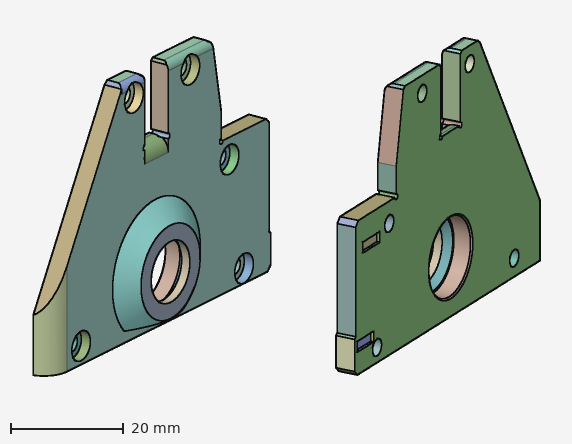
import cadquery as cq
import math


plate_thickness = 3.8
total_thickness = 6.91
bottom_z = -11.25
top_z = 38.0
right_y = -31.87
left_y = 34.4
side_step = 0.4
step_z = -4.15
shoulder_z = 18.0
shoulder_y = 19.5
corner_chamfer = 1.0
upright_top_z = 23.85
lean_top_y = 16.95
lean_chamfer_y = 0.6
tip_chamfer = 0.5
slope_angle = 60.0
slope_top_y = -10.45
slope_top_drop = 0.65
slope_chamfer_y = 0.85

slot_left_y = 3.55
slot_width = 7.0
slot_floor_z = 24.0
relief_diameter = 1.0

tine_round = 1.5
slot_floor_round = 3.0
end_round = 5.0

boss_base_radius = 13.2
boss_top_radius = 8.9
boss_flat_z = -9.0
bore_diameter = 11.6
seat_diameter = 15.1
seat_depth = 3.7
seat_chamfer = 0.3
cone_diameter = 14.3
cone_depth = 1.4

hole_diameter = 3.2
counterbore_diameter = 5.6
counterbore_depth = 2.0
screw_holes = [(10.2, 34.55), (-6.75, 34.55), (22.0, 13.75), (26.35, -8.35), (-22.65, -7.7)]

pocket_height = 2.05
pocket_depth = 0.6
pockets = [(31.4, 13.35, 6.05), (33.4, -4.85, 5.85)]


def cylinder_x(diameter, y, z, x_start, length):
    """Cylinder along +X."""
    return cq.Workplane("YZ", origin=(x_start, y, z)).circle(diameter / 2).extrude(length)


def cone_x(start_diameter, end_diameter, y, z, x_start, length):
    """Truncated cone along +X."""
    start = cq.Vector(x_start, y, z)
    return cq.Workplane(
        cq.Solid.makeCone(start_diameter / 2, end_diameter / 2, length, start, cq.Vector(1, 0, 0))
    )


def make_plate():
    upper_left_y = left_y - side_step
    slot_right_y = slot_left_y - slot_width
    slope_top_z = top_z - slope_top_drop
    slope_bottom_z = slope_top_z - (slope_top_y - right_y) * math.tan(math.radians(slope_angle))
    outline = [
        (right_y, bottom_z),
        (left_y - corner_chamfer, bottom_z),
        (left_y, bottom_z + corner_chamfer),
        (left_y, step_z),
        (upper_left_y, step_z + side_step),
        (upper_left_y, shoulder_z - corner_chamfer),
        (upper_left_y - corner_chamfer, shoulder_z),
        (shoulder_y, shoulder_z),
        (shoulder_y, upright_top_z),
        (lean_top_y, top_z - tip_chamfer),
        (lean_top_y - lean_chamfer_y, top_z),
        (slot_left_y + tip_chamfer, top_z),
        (slot_left_y, top_z - tip_chamfer),
        (slot_left_y, slot_floor_z),
        (slot_right_y, slot_floor_z),
        (slot_right_y, top_z - tip_chamfer),
        (slot_right_y - tip_chamfer, top_z),
        (slope_top_y + slope_chamfer_y, top_z),
        (slope_top_y, slope_top_z),
        (right_y, slope_bottom_z),
    ]
    plate = cq.Workplane("YZ").polyline(outline).close().extrude(plate_thickness)
    inner_corners = [
        (shoulder_y, shoulder_z),
        (slot_left_y, slot_floor_z),
        (slot_right_y, slot_floor_z),
    ]
    for y, z in inner_corners:
        plate = plate.cut(cylinder_x(relief_diameter, y, z, 0, plate_thickness))
    return plate


def edge_rounding_y(radius, edge_z, y_start, y_end):
    """Waste outside a quarter round on the front edge at height edge_z, running along Y."""
    block = cq.Workplane("XY").box(radius, y_end - y_start, radius, centered=False)
    block = block.translate((plate_thickness - radius, y_start, edge_z - radius))
    rod = cq.Workplane("XZ", origin=(plate_thickness - radius, y_end, edge_z - radius))
    return block.cut(rod.circle(radius).extrude(y_end - y_start))


def end_rounding():
    """Waste outside the upright round at the -Y end; the arc runs out in the back face."""
    center_x = plate_thickness - end_round
    center_y = right_y + math.sqrt(end_round**2 - center_x**2)
    height = top_z - bottom_z
    block = cq.Workplane("XY").box(plate_thickness, center_y - right_y, height, centered=False)
    block = block.translate((0, right_y, bottom_z))
    rod = cq.Workplane("XY", origin=(center_x, center_y, bottom_z))
    return block.cut(rod.circle(end_round).extrude(height))


def round_front_edges(plate):
    slot_right_y = slot_left_y - slot_width
    plate = plate.cut(edge_rounding_y(tine_round, top_z, slope_top_y, shoulder_y))
    plate = plate.cut(edge_rounding_y(slot_floor_round, slot_floor_z, slot_right_y, slot_left_y))
    return plate.cut(end_rounding())


def make_boss():
    height = total_thickness - plate_thickness
    half_section = [
        (plate_thickness, 0),
        (plate_thickness, -boss_base_radius),
        (total_thickness, -boss_top_radius),
        (total_thickness, 0),
    ]
    boss = cq.Workplane("XZ").polyline(half_section).close().revolve(360, (0, 0), (1, 0))
    keep = cq.Workplane("XY", origin=(plate_thickness, 0, boss_flat_z))
    keep = keep.rect(2 * height, 2 * boss_base_radius).extrude(2 * boss_base_radius)
    return boss.intersect(keep)


def cut_bore(body):
    mouth_diameter = seat_diameter + 2 * seat_chamfer
    body = body.cut(cylinder_x(bore_diameter, 0, 0, 0, total_thickness))
    body = body.cut(cylinder_x(seat_diameter, 0, 0, 0, seat_depth))
    body = body.cut(cone_x(mouth_diameter, seat_diameter, 0, 0, 0, seat_chamfer))
    return body.cut(cone_x(cone_diameter, bore_diameter, 0, 0, seat_depth, cone_depth))


def cut_screw_holes(body):
    head_start = plate_thickness - counterbore_depth
    for y, z in screw_holes:
        body = body.cut(cylinder_x(hole_diameter, y, z, 0, plate_thickness))
        body = body.cut(cylinder_x(counterbore_diameter, y, z, head_start, counterbore_depth))
    return body


def cut_pockets(body):
    for pocket_left_y, pocket_top_z, length in pockets:
        pocket = cq.Workplane("XY").box(pocket_depth, length, pocket_height, centered=False)
        pocket = pocket.translate((0, pocket_left_y - length, pocket_top_z - pocket_height))
        body = body.cut(pocket)
    return body


body = round_front_edges(make_plate()).union(make_boss())
body = cut_bore(body)
body = cut_screw_holes(body)
result = cut_pockets(body)